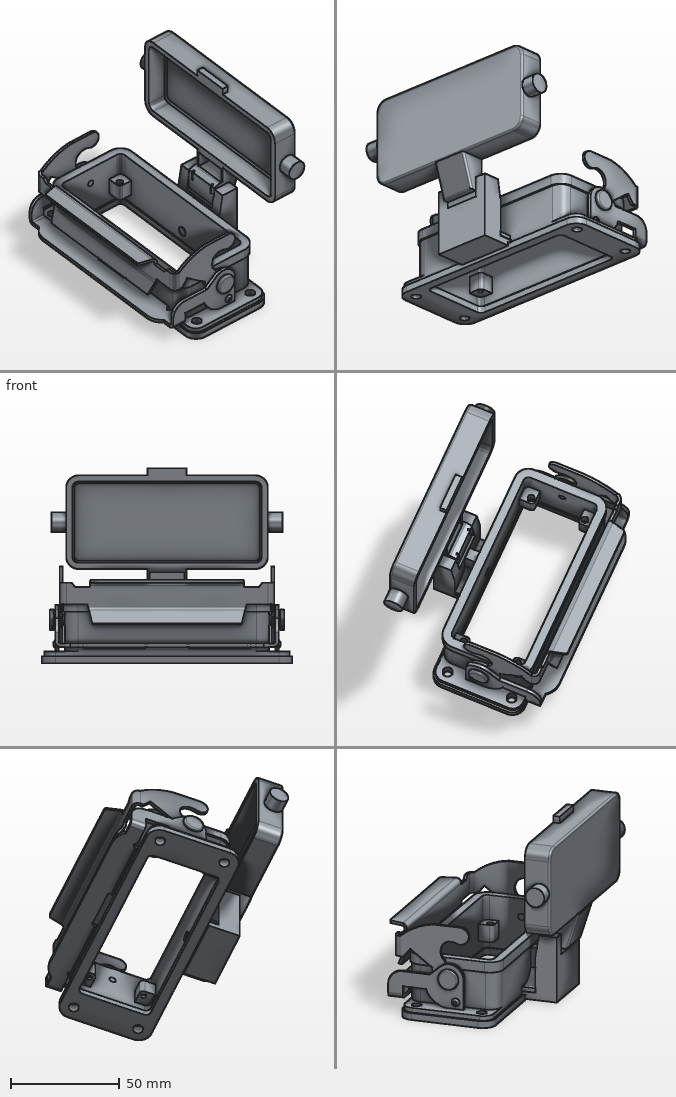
import cadquery as cq
import math

SIDES = (-1, 1)

flange_length = 115.5
flange_width = 45.5
flange_height = 3.3
flange_corner = 6.4
tier_step = 1.2
tier_width = 43.7
tier_top = 5.5
mount_hole_x = 51.5
mount_hole_y = 16.0
mount_hole_radius = 2.3

body_length = 94.0
body_width = 43.7
body_corner = 5.9
rim_length = 95.6
rim_corner = 6.7
rim_width = 45.3
rim_bottom = 23.8
housing_top = 28.9
cavity_length = 87.1
cavity_width = 36.7
cavity_corner = 2.5
opening_length = 85.5
opening_width = 35.6
ledge_height = 3.3

boss_inner_x = 36.2
boss_inner_y = 11.1
boss_bottom = 8.5
boss_top = 16.9
boss_round = 1.8
screw_x = 38.8
screw_y = 13.5
screw_hole_radius = 1.2
screw_bore_radius = 1.6
screw_bore_depth = 5.8

recess_z = 8.9
recess_radius = 2.3
recess_depth = 0.3

hinge_width = 29.6
hinge_back_y = 39.2
hinge_front_y = 28.6
hinge_top = 33.0
hinge_bottom = 1.4
cheek_front_y = 30.4
slot_floor = 23.1
foot_edge_y = 23.7
base_top = 5.0
foot_width = 28.9
foot_top = 7.0
neck_top = 22.5
neck_width = 5.5
neck_flare_x = 11.1
neck_flare_top = 12.9

cover_length = 93.1
cover_bottom = 43.4
cover_height = 43.3
cover_front_y = 35.2
cover_depth = 12.5
cover_corner = 5.9
cover_back_round = 1.0
cover_rim = 2.9
cover_wall = 2.3
cover_floor_chamfer = 0.9
tab_width = 18.0
tab_depth = 3.2
tab_height = 3.2
cover_pin_radius = 4.6
cover_pin_reach = 53.2
cover_pin_y = 42.7
arm_back_y = 42.2
arm_wall = 1.0
arm_pocket_top = 42.0
arm_tip_z = 26.1
arm_round = 0.9
arm_shelf_z = 35.0
arm_shelf_front_z = 34.0
arm_shelf_bend_y = 33.4
arm_pocket_floor = 34.1
arm_pocket_front_y = 34.5
finger_half = 6.2
finger_gap = 0.7
finger_gap_depth = 1.2
finger_gap_height = 4.6
arm_front_y = 30.1

pivot_y = 0
pivot_z = 20.1
pivot_radius = 2.5
rivet_tenon_radius = 1.6

lever_half = 49.4
lever_thickness = 1.4
lever_bend = 3.0
lever_front_y = -28.1
lever_plate_bottom = 27.4
lever_plate_top = 37.2
hook_top = 44.7
hook_tip_y = 4.6
hook_tip_radius = 4.2
notch_y = 0.1
notch_z = 32.1
notch_radius = 5.3
lever_back_mid = (-17.5, 42.0)
lever_back_start_y = -8.4
lever_neck_y = -3.0
lever_neck_top = 27.7
lever_gap_peak = (-20.0, 31.5)
lever_gap_front_y = -23.3
lever_shoulder_y = -9.1
lever_shoulder_top = 23.7
lever_shoulder_bottom = 21.6
lever_hub_front = (-5.2, 16.6)
lever_hub_back_y = 5.8
lever_hub_crown = (2.9, 25.2)
lever_hub_top = 25.9
lever_tail = 9.4
handle_top = 38.6
handle_bend = 2.5
handle_reach_y = -36.0
handle_base_half = 35.7
handle_tip_half = 33.3
handle_corner = 1.2
relief_top_half = 44.0
relief_bottom_half = 42.3
relief_floor = 35.2
lip_base_half = 36.7
lip_tip_half = 34.2
lip_bend_start_z = 26.2
lip_bend_mid = (-28.2, 25.5)
lip_bend_end = (-28.4, 24.8)
lip_end_y = -31.4
lip_end_z = 17.8
lip_end_rise = 0.7

bail_half = 51.5
bail_thickness = 1.7
bail_bend = 2.5
bail_hub_radius = 6.9
bail_foot = 5.7
bail_plate_bottom = 7.5
bail_arm_top = 20.9
bail_arm_bottom = 13.7
bail_arm_front_y = -30.1
bail_inner_y = -23.0
bail_tray_half = 44.6
bail_tray_y = -34.0
bail_tray_mid = (41.6, -32.8)
bail_tray_straight = 37.0
bail_arm_front_top = 14.3
bail_arm_bend_mid = (-28.2, 18.9)
bail_arm_bend_start_y = -23.6
bail_hub_front_y = -9.8
bail_foot_front_y = -2.0
bail_foot_mid = (-8.4, 9.0)
bail_foot_top_y = -11.4
bail_notch_depth = 1.5
bail_notch_bevel = 1.0
round_notch_x = 39.8
round_notch_radius = 1.2
bail_lip_start = 10.0
bail_lip_end = 38.7
bail_lip_bottom = 6.7
bail_lip_thickness = 1.0
rivet_head_radius = 4.9
rivet_head_start = 52.1
rivet_head_end = 54.0
rivet_head_round = 0.7
detent_y = 3.1
detent_z = 8.9
detent_base_radius = 2.0
detent_tip_radius = 0.8
detent_height = 0.9


def rounded_block(length, width, bottom, top, radius):
    """Upright block centred on the Z axis with rounded vertical edges."""
    return (cq.Workplane("XY").workplane(offset=bottom)
            .rect(length, width).extrude(top - bottom).edges("|Z").fillet(radius))


def box_between(x0, x1, y0, y1, z0, z1):
    return cq.Workplane("XY").box(x1 - x0, y1 - y0, z1 - z0, centered=False).translate((x0, y0, z0))


def side_profile(half_width):
    """Sketch plane of the Y-Z outlines, placed at the -X end of a symmetric extrusion."""
    return cq.Workplane("YZ").workplane(offset=-half_width)


def x_cylinder(radius, y, z, x_start, x_end):
    return (cq.Workplane("YZ").workplane(offset=x_start).center(y, z)
            .circle(radius).extrude(x_end - x_start))


def make_hinge():
    block = (side_profile(hinge_width / 2)
             .moveTo(hinge_back_y, hinge_bottom)
             .lineTo(hinge_back_y, hinge_top)
             .lineTo(cheek_front_y, hinge_top)
             .lineTo(hinge_front_y, neck_top)
             .lineTo(hinge_front_y, base_top)
             .lineTo(body_width / 2, base_top)
             .lineTo(body_width / 2, flange_height)
             .lineTo(foot_edge_y, flange_height)
             .lineTo(foot_edge_y, hinge_bottom)
             .close().extrude(hinge_width))
    slot = box_between(-tab_width / 2, tab_width / 2, hinge_front_y, hinge_back_y, slot_floor, hinge_top)

    run = neck_flare_x - neck_width / 2
    rise = neck_flare_top - foot_top
    radius = (run ** 2 + rise ** 2) / (2 * rise)
    half_angle = math.asin(run / radius) / 2
    arc_x = neck_flare_x - radius * math.sin(half_angle)
    arc_z = foot_top + radius * (1 - math.cos(half_angle))
    neck = (cq.Workplane("XZ").workplane(offset=-hinge_front_y)
            .moveTo(-foot_width / 2, base_top)
            .lineTo(-foot_width / 2, foot_top)
            .lineTo(-neck_flare_x, foot_top)
            .threePointArc((-arc_x, arc_z), (-neck_width / 2, neck_flare_top))
            .lineTo(-neck_width / 2, neck_top)
            .lineTo(neck_width / 2, neck_top)
            .lineTo(neck_width / 2, neck_flare_top)
            .threePointArc((arc_x, arc_z), (neck_flare_x, foot_top))
            .lineTo(foot_width / 2, foot_top)
            .lineTo(foot_width / 2, base_top)
            .close().extrude(hinge_front_y - body_width / 2))
    return block.cut(slot).union(neck)


def make_housing():
    flange = rounded_block(flange_length, flange_width, 0, flange_height, flange_corner)
    tier = rounded_block(flange_length - 2 * tier_step, tier_width, flange_height, tier_top,
                         flange_corner - tier_step)
    walls = rounded_block(body_length, body_width, tier_top, rim_bottom, body_corner)
    rim = rounded_block(rim_length, rim_width, rim_bottom, housing_top, rim_corner)
    housing = flange.union(tier).union(walls).union(rim).union(make_hinge())

    cavity = rounded_block(cavity_length, cavity_width, ledge_height, housing_top, cavity_corner)
    opening = rounded_block(opening_length, opening_width, 0, ledge_height, cavity_corner)
    housing = housing.cut(cavity).cut(opening)

    for x_side in SIDES:
        for y_side in SIDES:
            housing = housing.union(make_boss(x_side, y_side))
            screw_at = (x_side * screw_x, y_side * screw_y)
            hole = cq.Workplane("XY").center(*screw_at).circle(screw_hole_radius).extrude(boss_top)
            bore = (cq.Workplane("XY").workplane(offset=boss_top - screw_bore_depth).center(*screw_at)
                    .circle(screw_bore_radius).extrude(screw_bore_depth))
            mount = (cq.Workplane("XY").center(x_side * mount_hole_x, y_side * mount_hole_y)
                     .circle(mount_hole_radius).extrude(tier_top))
            housing = housing.cut(hole).cut(bore).cut(mount)

    recess = (cq.Workplane("XZ").workplane(offset=-(cavity_width / 2 + recess_depth))
              .center(0, recess_z).circle(recess_radius).extrude(recess_depth))
    rivet_holes = x_cylinder(rivet_tenon_radius, pivot_y, pivot_z, -body_length / 2, body_length / 2)
    return housing.cut(recess).cut(rivet_holes)


def make_boss(x_side, y_side):
    """Square screw boss filling one corner of the cavity."""
    outer_x = (cavity_length + body_length) / 4
    outer_y = (cavity_width + body_width) / 4
    return (cq.Workplane("XY").workplane(offset=boss_bottom)
            .center(x_side * (boss_inner_x + outer_x) / 2, y_side * (boss_inner_y + outer_y) / 2)
            .rect(outer_x - boss_inner_x, outer_y - boss_inner_y).extrude(boss_top - boss_bottom)
            .edges("|Z").fillet(boss_round))


def make_cover():
    middle_z = cover_bottom + cover_height / 2
    back_y = cover_front_y + cover_depth
    shell = (cq.Workplane("XZ").workplane(offset=-back_y).center(0, middle_z)
             .rect(cover_length, cover_height).extrude(cover_depth)
             .edges("|Y").fillet(cover_corner)
             .faces(">Y").edges().fillet(cover_back_round))
    pocket = (cq.Workplane("XZ").workplane(offset=-(back_y - cover_wall)).center(0, middle_z)
              .rect(cover_length - 2 * cover_rim, cover_height - 2 * cover_rim)
              .extrude(cover_depth - cover_wall)
              .edges("|Y").fillet(cover_corner - cover_rim)
              .faces(">Y").edges().chamfer(cover_floor_chamfer))
    cover_top = cover_bottom + cover_height
    tab = box_between(-tab_width / 2, tab_width / 2, cover_front_y, cover_front_y + tab_depth,
                      cover_top - cover_rim, cover_top + tab_height)
    cover = shell.union(tab).union(make_cover_arm(back_y)).cut(pocket)
    for x_start, x_end in ((-cover_pin_reach, -cover_length / 2), (cover_length / 2, cover_pin_reach)):
        cover = cover.union(x_cylinder(cover_pin_radius, cover_pin_y, middle_z, x_start, x_end))
    return cover


def make_cover_arm(back_y):
    """Tapered hollow arm that drops from the cover into the slot of the hinge."""
    arm = (side_profile(tab_width / 2)
           .moveTo(back_y, cover_bottom)
           .lineTo(arm_back_y, arm_tip_z)
           .lineTo(hinge_back_y, arm_tip_z)
           .lineTo(hinge_back_y, slot_floor)
           .lineTo(arm_front_y, slot_floor)
           .lineTo(arm_front_y, arm_shelf_front_z)
           .lineTo(arm_shelf_bend_y, arm_shelf_z)
           .lineTo(cover_front_y, arm_shelf_z)
           .lineTo(cover_front_y, cover_bottom)
           .close().extrude(tab_width)
           .faces(">Y").edges("not >Z").fillet(arm_round))
    pocket_half = tab_width / 2 - arm_wall
    slope = (back_y - arm_back_y) / (cover_bottom - arm_tip_z)
    floor_back_y = arm_back_y + slope * (arm_pocket_floor - arm_tip_z) - 2 * arm_wall
    top_back_y = arm_back_y + slope * (arm_pocket_top - arm_tip_z) - 2 * arm_wall
    pocket = (side_profile(pocket_half)
              .moveTo(arm_pocket_front_y, arm_pocket_floor)
              .lineTo(floor_back_y, arm_pocket_floor)
              .lineTo(top_back_y, arm_pocket_top)
              .lineTo(arm_pocket_front_y, arm_pocket_top)
              .close().extrude(2 * pocket_half))
    arm = arm.cut(pocket)

    for x_start in (-finger_half - finger_gap, finger_half):
        arm = arm.cut(box_between(x_start, x_start + finger_gap,
                                  arm_front_y, arm_front_y + finger_gap_depth,
                                  arm_shelf_front_z - finger_gap_height, arm_shelf_z))
    return arm


def make_lever():
    hook_tip_z = hook_top - hook_tip_radius
    centre_distance = math.hypot(notch_y - hook_tip_y, notch_z - hook_tip_z)
    toward_y = (notch_y - hook_tip_y) / centre_distance
    toward_z = (notch_z - hook_tip_z) / centre_distance
    meet = (hook_tip_y + hook_tip_radius * toward_y, hook_tip_z + hook_tip_radius * toward_z)
    diagonal = notch_radius * math.sqrt(0.5)

    profile = (side_profile(lever_half)
               .moveTo(lever_neck_y, lever_neck_top)
               .threePointArc((notch_y - notch_radius, notch_z), (notch_y - diagonal, notch_z + diagonal))
               .threePointArc((notch_y, notch_z + notch_radius), meet)
               .threePointArc((hook_tip_y + hook_tip_radius, hook_tip_z), (hook_tip_y, hook_top))
               .lineTo(lever_back_start_y, hook_top)
               .threePointArc(lever_back_mid, (lever_front_y + lever_bend, lever_plate_top))
               .lineTo(lever_front_y, lever_plate_top)
               .lineTo(lever_front_y, lever_plate_bottom)
               .lineTo(lever_gap_front_y, lever_plate_bottom)
               .lineTo(*lever_gap_peak)
               .lineTo(lever_shoulder_y, lever_shoulder_top)
               .lineTo(lever_shoulder_y, lever_shoulder_bottom)
               .lineTo(*lever_hub_front)
               .lineTo(lever_neck_y, lever_tail)
               .lineTo(lever_hub_back_y, lever_tail)
               .lineTo(lever_hub_back_y, pivot_z)
               .threePointArc(lever_hub_crown, (lever_neck_y, lever_hub_top))
               .close().extrude(2 * lever_half))
    lever = profile.intersect(lever_strip()).cut(lever_relief())
    lever = lever.union(make_handle()).union(make_lip())
    return lever.cut(x_cylinder(pivot_radius, pivot_y, pivot_z, -lever_half, lever_half))


def lever_strip():
    """Strip bent to a U, open towards +Y, that gives the arms and the front plate."""
    rear_y = hook_tip_y + hook_tip_radius

    def plan(inset, bend):
        half = lever_half - inset
        front_y = lever_front_y + inset
        return (cq.Workplane("XY").moveTo(-half, front_y).lineTo(half, front_y).lineTo(half, rear_y)
                .lineTo(-half, rear_y).close().extrude(hook_top)
                .edges("|Z and <Y").fillet(bend))

    return plan(0, lever_bend).cut(plan(lever_thickness, lever_bend - lever_thickness))


def lever_relief():
    """Lowered middle of the front plate's top edge, from which the handle bends out."""
    return (cq.Workplane("XZ").workplane(offset=-lever_front_y - lever_thickness)
            .moveTo(-relief_top_half, lever_plate_top)
            .lineTo(-relief_bottom_half, relief_floor)
            .lineTo(relief_bottom_half, relief_floor)
            .lineTo(relief_top_half, lever_plate_top)
            .close().extrude(lever_thickness))


def make_handle():
    """Finger plate that bends forward out of the top of the front plate."""
    plate_inner_y = lever_front_y + lever_thickness
    inner_bend = handle_bend - lever_thickness
    centre_y = plate_inner_y - handle_bend
    centre_z = handle_top - handle_bend
    diagonal = math.sqrt(0.5)
    strip = (side_profile(handle_base_half)
             .moveTo(plate_inner_y, relief_floor)
             .lineTo(plate_inner_y, centre_z)
             .threePointArc((centre_y + handle_bend * diagonal, centre_z + handle_bend * diagonal),
                            (centre_y, handle_top))
             .lineTo(handle_reach_y, handle_top)
             .lineTo(handle_reach_y, handle_top - lever_thickness)
             .lineTo(centre_y, handle_top - lever_thickness)
             .threePointArc((centre_y + inner_bend * diagonal, centre_z + inner_bend * diagonal),
                            (lever_front_y, centre_z))
             .lineTo(lever_front_y, relief_floor)
             .close().extrude(2 * handle_base_half))
    outline = (cq.Workplane("XY").workplane(offset=relief_floor)
               .moveTo(-handle_base_half, plate_inner_y)
               .lineTo(-handle_tip_half, handle_reach_y)
               .lineTo(handle_tip_half, handle_reach_y)
               .lineTo(handle_base_half, plate_inner_y)
               .close().extrude(handle_top - relief_floor)
               .edges("|Z and <Y").fillet(handle_corner))
    return strip.intersect(outline)


def make_lip():
    """Grip lip that hangs from the front plate and slants outwards."""
    plate_inner_y = lever_front_y + lever_thickness
    slab = (side_profile(lip_base_half)
            .moveTo(lever_front_y, lever_plate_bottom)
            .lineTo(lever_front_y, lip_bend_start_z)
            .threePointArc(lip_bend_mid, lip_bend_end)
            .lineTo(lip_end_y, lip_end_z + lip_end_rise)
            .lineTo(lip_end_y + lever_thickness, lip_end_z)
            .lineTo(plate_inner_y, lip_bend_mid[1])
            .lineTo(plate_inner_y, lever_plate_bottom)
            .close().extrude(2 * lip_base_half))
    outline = (cq.Workplane("XZ").workplane(offset=-plate_inner_y)
               .moveTo(-lip_base_half, lever_plate_bottom)
               .lineTo(-lip_tip_half, lip_end_z)
               .lineTo(lip_tip_half, lip_end_z)
               .lineTo(lip_base_half, lever_plate_bottom)
               .close().extrude(plate_inner_y - lip_end_y)
               .edges("|Y and <Z").fillet(handle_corner))
    return slab.intersect(outline)


def make_bail():
    hub_diagonal = bail_hub_radius * math.sqrt(0.5)
    profile = (side_profile(bail_half)
               .moveTo(bail_hub_radius, bail_foot)
               .lineTo(bail_hub_radius, pivot_z)
               .threePointArc((0, pivot_z + bail_hub_radius), (-hub_diagonal, pivot_z + hub_diagonal))
               .lineTo(bail_hub_front_y, bail_arm_top)
               .lineTo(bail_arm_bend_start_y, bail_arm_top)
               .threePointArc(bail_arm_bend_mid, (bail_arm_front_y, bail_arm_front_top))
               .lineTo(bail_arm_front_y, bail_plate_bottom)
               .lineTo(bail_inner_y, bail_plate_bottom)
               .lineTo(bail_inner_y, bail_arm_bottom)
               .lineTo(bail_foot_top_y, bail_arm_bottom)
               .threePointArc(bail_foot_mid, (bail_foot_front_y, bail_foot))
               .close().extrude(2 * bail_half))
    bail = profile.intersect(bail_channel()).union(make_tray()).cut(tray_notches())
    for side in SIDES:
        bail = bail.union(make_bail_lip(side)).union(make_rivet(side)).union(make_detent(side))
    return bail


def bail_channel():
    """Two upright arms behind a channel with bent lower corners."""
    def section(inset, bend):
        half = bail_half - inset
        bottom = bail_plate_bottom + inset
        height = pivot_z + bail_hub_radius - bottom
        return (cq.Workplane("XZ").workplane(offset=-bail_inner_y)
                .moveTo(0, bottom + height / 2).rect(2 * half, height)
                .extrude(bail_inner_y - bail_arm_front_y)
                .edges("|Y and <Z").fillet(bend))

    channel = section(0, bail_bend).cut(section(bail_thickness, bail_bend - bail_thickness))
    top = pivot_z + bail_hub_radius
    for x_start in (-bail_half, bail_half - bail_thickness):
        channel = channel.union(box_between(x_start, x_start + bail_thickness, bail_inner_y,
                                            bail_hub_radius, bail_foot, top))
    return channel


def make_tray():
    """Front extension of the bail plate with swept ends."""
    mid_x, mid_y = bail_tray_mid
    return (cq.Workplane("XY").workplane(offset=bail_plate_bottom)
            .moveTo(-bail_tray_half, bail_arm_front_y)
            .threePointArc((-mid_x, mid_y), (-bail_tray_straight, bail_tray_y))
            .lineTo(bail_tray_straight, bail_tray_y)
            .threePointArc((mid_x, mid_y), (bail_tray_half, bail_arm_front_y))
            .close().extrude(bail_thickness))


def tray_notches():
    """Middle notch and two small round notches in the inner edge of the bail plate."""
    notches = (cq.Workplane("XY").workplane(offset=bail_plate_bottom)
               .moveTo(-bail_lip_start, bail_inner_y)
               .lineTo(-bail_lip_start, bail_inner_y - bail_notch_depth + bail_notch_bevel)
               .lineTo(-bail_lip_start + bail_notch_bevel, bail_inner_y - bail_notch_depth)
               .lineTo(bail_lip_start - bail_notch_bevel, bail_inner_y - bail_notch_depth)
               .lineTo(bail_lip_start, bail_inner_y - bail_notch_depth + bail_notch_bevel)
               .lineTo(bail_lip_start, bail_inner_y)
               .close().extrude(bail_thickness))
    for side in SIDES:
        notches = notches.union(
            cq.Workplane("XY").workplane(offset=bail_plate_bottom)
            .center(side * round_notch_x, bail_inner_y).circle(round_notch_radius)
            .extrude(bail_thickness))
    return notches


def make_bail_lip(side):
    ends = sorted((side * bail_lip_start, side * bail_lip_end))
    return box_between(*ends, bail_inner_y, bail_inner_y + bail_lip_thickness,
                       bail_lip_bottom, bail_plate_bottom + bail_thickness)


def make_rivet(side):
    """Pivot rivet from the inner face of the end wall to its head outside the bail."""
    tenon = x_cylinder(rivet_tenon_radius, pivot_y, pivot_z, cavity_length / 2, body_length / 2)
    shaft = x_cylinder(pivot_radius, pivot_y, pivot_z, body_length / 2, rivet_head_start)
    head = (x_cylinder(rivet_head_radius, pivot_y, pivot_z, rivet_head_start, rivet_head_end)
            .edges().fillet(rivet_head_round))
    rivet = tenon.union(shaft).union(head)
    return rivet if side > 0 else rivet.mirror("YZ")


def make_detent(side):
    detent = (cq.Workplane("YZ").workplane(offset=bail_half).center(detent_y, detent_z)
              .circle(detent_base_radius).workplane(offset=detent_height)
              .circle(detent_tip_radius).loft(ruled=True))
    return detent if side > 0 else detent.mirror("YZ")


housing = make_housing()
cover = make_cover()
lever = make_lever()
bail = make_bail()

result = cq.Compound.makeCompound([housing.val(), cover.val(), lever.val(), bail.val()])